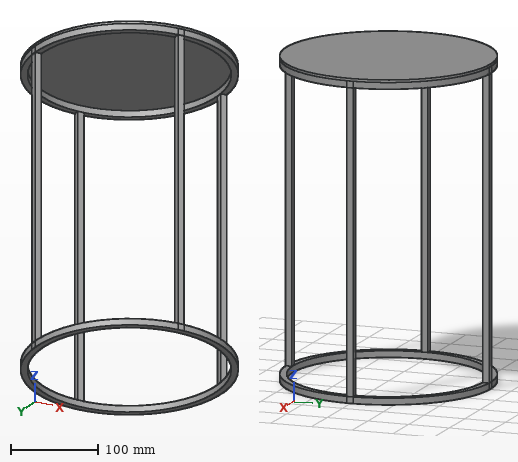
import cadquery as cq

total_height = 383.0
outer_diameter = 250.0
top_thickness = 3.0
bar_size = 8.0
leg_count = 4

outer_radius = outer_diameter / 2
frame_height = total_height - top_thickness
upper_ring_base = frame_height - bar_size


def make_table_top():
    """Thin round plate lying on the frame."""
    return cq.Workplane("XY").workplane(offset=frame_height).circle(outer_radius).extrude(top_thickness)


def make_ring(base_height):
    """Flat ring of square section standing at the given height."""
    return (
        cq.Workplane("XY")
        .workplane(offset=base_height)
        .circle(outer_radius)
        .circle(outer_radius - bar_size)
        .extrude(bar_size)
    )


def make_leg(angle, rings):
    """Square leg, outer face tangent to the rings and notched where they pass through it."""
    leg = (
        cq.Workplane("XY")
        .center(outer_radius - bar_size / 2, 0)
        .rect(bar_size, bar_size)
        .extrude(frame_height)
        .rotate((0, 0, 0), (0, 0, 1), angle)
    )
    for ring in rings:
        leg = leg.cut(ring)
    return leg.solids()


table_top = make_table_top()
lower_ring = make_ring(0)
upper_ring = make_ring(upper_ring_base)
legs = [make_leg(index * 360 / leg_count, [lower_ring, upper_ring]) for index in range(leg_count)]

result = cq.Compound.makeCompound(
    [table_top.val(), lower_ring.val(), upper_ring.val(), *[leg.val() for leg in legs]]
)